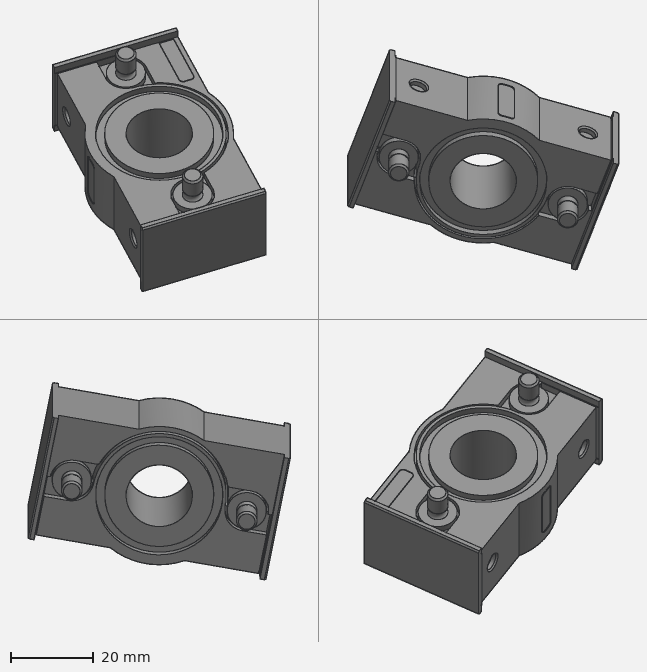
import cadquery as cq

SIDES = (-1, 1)

total_length = 58.5
total_height = 32.8
total_width = 36.0
housing_radius = total_width / 2

plate_thickness = 1.45
plate_width = 32.2
plate_height = 22.8
plate_chamfer = 0.4
pad_thickness = 0.2

rear_length = total_length - 2 * (plate_thickness + pad_thickness)
rear_depth = plate_width / 2
rear_height = 18.65
lip_height = 15.2

parting_gap = 0.3
front_length = 54.7
front_depth = 15.5
front_height = 18.95
collar_radius = 16.2
collar_clearance = 0.5
rear_bore_radius = collar_radius + collar_clearance

outer_ring_diameter = 30.8
inner_ring_diameter = 26.4
shaft_diameter = 16.0
outer_ring_recess = 1.75

pin_offset = 21.5
barrel_diameter = 9.5
barrel_height = 18.7
pin_diameter = 5.0
pin_chamfer = 0.5
neck_diameter = 4.0
neck_length = 2.1

pocket_radius = 5.25
pocket_floor = lip_height / 2

hole_diameter = 4.15
hole_mouth_diameter = 5.0
hole_depth = 1.5

label_depth = 0.25
label_radius = 1.0
top_label_end = -13.7
top_label_low = 11.1
top_label_high = 14.85
front_label_width = 4.1
front_label_height = 14.05


def cylinder(diameter, height, x=0.0):
    """Cylinder along Z, centred on the XY plane."""
    return cq.Workplane("XY").cylinder(height, diameter / 2).translate((x, 0, 0))


def block(x_start, x_end, y_start, y_end, height):
    """Box between two X and two Y positions, centred on the XY plane."""
    box = cq.Workplane("XY").box(x_end - x_start, y_end - y_start, height)
    return box.translate(((x_start + x_end) / 2, (y_start + y_end) / 2, 0))


def housing_blank(length, y_start, y_end, height):
    """Half block whose middle bulges out, away from the parting plane, to the housing radius."""
    side_block = block(-length / 2, length / 2, y_start, y_end, height)
    if y_end > 0:
        bulge_side = block(-length / 2, length / 2, y_start, housing_radius, height)
    else:
        bulge_side = block(-length / 2, length / 2, -housing_radius, y_end, height)
    return side_block.union(cylinder(2 * housing_radius, height).intersect(bulge_side))


def barrel_pocket(side, x_straight, y_straight):
    """Clearance round one barrel, run out straight to x_straight, above and below the floors."""
    x_limits = sorted((side * pin_offset, side * x_straight))
    y_limits = sorted((0, y_straight))
    outline = cylinder(2 * pocket_radius, total_height, side * pin_offset)
    outline = outline.union(block(*x_limits, *y_limits, total_height))
    return outline.cut(block(-total_length, total_length, -total_length, total_length, 2 * pocket_floor))


def cut_pin_seats(housing, x_straight, y_straight):
    """Barrel bores and pockets at both ends of a housing half."""
    for side in SIDES:
        housing = housing.cut(barrel_pocket(side, x_straight, y_straight))
        housing = housing.cut(cylinder(barrel_diameter, total_height, side * pin_offset))
    return housing


def make_end_plate(side):
    """Plate with chamfered outer top and bottom edges, and the pad on its inner face."""
    outer_face = ">X" if side > 0 else "<X"
    plate = cq.Workplane("XY").box(plate_thickness, plate_width, plate_height)
    plate = plate.faces(outer_face).edges("|Y").chamfer(plate_chamfer)
    plate = plate.translate((side * (total_length - plate_thickness) / 2, 0, 0))
    x_limits = sorted((side * rear_length / 2, side * (rear_length / 2 + pad_thickness)))
    return plate.union(block(*x_limits, -plate_width / 2, plate_width / 2, rear_height))


def make_rear_housing():
    body = housing_blank(rear_length, 0, rear_depth, rear_height)

    bore = cylinder(2 * rear_bore_radius, total_height)
    lip = cylinder(2 * rear_bore_radius, lip_height).cut(cylinder(2 * collar_radius, lip_height))
    lip = lip.cut(block(-total_length, total_length, -total_length, pocket_radius, lip_height))
    body = body.cut(bore.cut(lip))
    body = cut_pin_seats(body, 0, pocket_radius)
    for side in SIDES:
        body = body.union(make_end_plate(side))

    label = block(-rear_length / 2, top_label_end, top_label_low, top_label_high, 2 * label_depth)
    label = label.edges("|Z and >X").fillet(label_radius)
    return body.cut(label.translate((0, 0, rear_height / 2)))


def make_front_hole(side):
    """Countersunk blind hole running from the front face toward +Y."""
    mouth_chamfer = (hole_mouth_diameter - hole_diameter) / 2
    face = cq.Workplane("XZ", origin=(side * pin_offset, -front_depth, 0))
    hole = face.circle(hole_diameter / 2).extrude(-hole_depth)
    mouth = cq.Solid.makeCone(
        hole_mouth_diameter / 2,
        hole_diameter / 2,
        mouth_chamfer,
        pnt=cq.Vector(side * pin_offset, -front_depth, 0),
        dir=cq.Vector(0, 1, 0),
    )
    return hole.union(cq.Workplane(mouth))


def make_front_housing():
    body = housing_blank(front_length, -front_depth, -parting_gap, front_height)
    body = body.union(cylinder(2 * collar_radius, front_height))
    body = body.cut(cylinder(outer_ring_diameter, front_height))
    body = cut_pin_seats(body, total_length / 2, -pocket_radius)
    for side in SIDES:
        body = body.cut(make_front_hole(side))

    label = cq.Workplane("XZ").rect(front_label_width, front_label_height).extrude(total_length / 2)
    label = label.edges("|Y").fillet(label_radius)
    label = label.cut(cylinder(2 * (housing_radius - label_depth), total_height))
    return body.cut(label)


def make_outer_ring():
    height = front_height - 2 * outer_ring_recess
    return cylinder(outer_ring_diameter, height).cut(cylinder(inner_ring_diameter, height))


def make_inner_ring():
    return cylinder(inner_ring_diameter, front_height).cut(cylinder(shaft_diameter, front_height))


def make_barrel(side):
    barrel = cylinder(barrel_diameter, barrel_height, side * pin_offset)
    return barrel.cut(cylinder(pin_diameter, barrel_height, side * pin_offset))


def make_pin(side):
    """Turned pin: the upper half profile is revolved about Z and mirrored below the XY plane."""
    pin_radius = pin_diameter / 2
    neck_bottom = barrel_height / 2
    neck_middle = neck_bottom + neck_length / 2
    neck_top = neck_bottom + neck_length
    tip = total_height / 2
    upper_half = (
        cq.Workplane("XZ")
        .lineTo(pin_radius, 0)
        .lineTo(pin_radius, neck_bottom)
        .threePointArc((neck_diameter / 2, neck_middle), (pin_radius, neck_top))
        .lineTo(pin_radius, tip - pin_chamfer)
        .lineTo(pin_radius - pin_chamfer, tip)
        .lineTo(0, tip)
        .close()
        .revolve(360, (0, 0, 0), (0, 1, 0))
    )
    pin = upper_half.union(upper_half.mirror("XY"))
    return pin.translate((side * pin_offset, 0, 0))


rear_housing = make_rear_housing()
front_housing = make_front_housing()
outer_ring = make_outer_ring()
inner_ring = make_inner_ring()
barrels = [make_barrel(side) for side in SIDES]
pins = [make_pin(side) for side in SIDES]

result = cq.Compound.makeCompound([
    rear_housing.val(),
    front_housing.val(),
    outer_ring.val(),
    inner_ring.val(),
    *[barrel.val() for barrel in barrels],
    *[pin.val() for pin in pins],
])